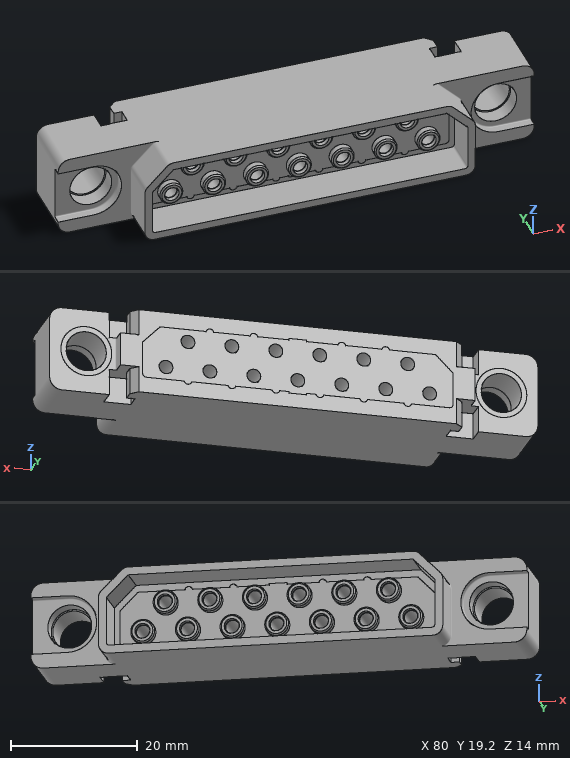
import cadquery as cq

LENGTH = 80.0
HEIGHT = 14.0
SHROUD_DEPTH = 6.5
FLANGE_THICKNESS = 10.3
REAR_DEPTH = 2.4
FLANGE_FRONT = SHROUD_DEPTH
FLANGE_REAR = FLANGE_FRONT + FLANGE_THICKNESS
REAR_FACE = FLANGE_REAR + REAR_DEPTH

FLANGE_CORNER_RADIUS = 2.0
ROOT_RADIUS = 0.2

SHROUD_HALF_WIDTH = 27.8
SHROUD_CORNER_CUT = 4.2
SHROUD_BOTTOM_RADIUS = 1.6
SHROUD_CUT_RADIUS = 1.4

CAVITY_HALF_WIDTH = 26.5
CAVITY_HALF_HEIGHT = 5.7
CAVITY_CORNER_CUT = 3.5
CAVITY_BOTTOM_RADIUS = 0.5
CAVITY_DEPTH = 6.3

REAR_HALF_WIDTH = 29.0
WEB_HALF_HEIGHT = 2.7
HOOK_HALF_WIDTH = 27.2
HOOK_CHAMFER = 1.2
HOOK_LENGTH = 3.1
LATCH_INNER = 25.8
LATCH_OUTER = 30.2
LATCH_DEPTH = 5.6

MOUNT_X = 34.0
MOUNT_RADIUS = 3.5
RECESS_RADIUS = 4.6
RECESS_DEPTH = 1.4
RECESS_FLOOR_RADIUS = 0.2
BUSHING_BORE_RADIUS = 3.3
BUSHING_RADIUS = 4.2
BUSHING_SETBACK = 4.2
BUSHING_FRONT = FLANGE_FRONT + BUSHING_SETBACK

INSERT_HALF_WIDTH = 25.4
INSERT_HALF_HEIGHT = 4.4
INSERT_CORNER_CUT = 2.9
INSERT_BOTTOM_RADIUS = 0.6
INSERT_PROTRUSION = 0.5
INSERT_FRONT = CAVITY_DEPTH - INSERT_PROTRUSION
INSERT_SPLIT = (CAVITY_DEPTH + REAR_FACE) / 2
RIB_RADIUS = 0.6
RIB_HEIGHT = 0.5
KEY_WIDTH = 2.9
KEY_HEIGHT = 0.2

PITCH = 7.2
ROW_Z = 2.3
UPPER_COUNT = 6
LOWER_COUNT = 7
SOCKET_MOUTH_RADIUS = 1.2
SOCKET_MOUTH_DEPTH = 0.8
SOCKET_BORE_RADIUS = 1.1
SOCKET_RADIUS = 1.9
SOCKET_HEIGHT = 1.3
SOCKET_CHAMFER = 0.2


def xz_plane(y):
    """Work plane at the given Y whose extrusions run toward the rear (+Y) and whose local x is -X."""
    return cq.Workplane(cq.Plane(origin=(0, y, 0), xDir=(-1, 0, 0), normal=(0, 1, 0)))


def row_positions(count):
    """X positions of a centred row at the contact pitch."""
    return [(i - (count - 1) / 2) * PITCH for i in range(count)]


UPPER_X = row_positions(UPPER_COUNT)
LOWER_X = row_positions(LOWER_COUNT)
SOCKET_POINTS = [(x, ROW_Z) for x in UPPER_X] + [(x, -ROW_Z) for x in LOWER_X]


def keyed_prism(half_width, half_height, corner_cut, bottom_radius, front, rear):
    """Prism along Y with 45 degree cuts at its upper corners and rounded lower corners."""
    outline = [
        (-half_width, -half_height),
        (half_width, -half_height),
        (half_width, half_height - corner_cut),
        (half_width - corner_cut, half_height),
        (corner_cut - half_width, half_height),
        (-half_width, half_height - corner_cut),
    ]
    prism = xz_plane(front).polyline(outline).close().extrude(rear - front)
    return prism.edges("|Y").edges("<Z").fillet(bottom_radius)


def shroud():
    body = keyed_prism(
        SHROUD_HALF_WIDTH, HEIGHT / 2, SHROUD_CORNER_CUT, SHROUD_BOTTOM_RADIUS, 0, FLANGE_FRONT
    )
    return body.edges("|Y").edges(">Z or >X or <X").fillet(SHROUD_CUT_RADIUS)


def edges_within(half_width, half_height, y):
    """Selector of the edges that lie at the given Y within a centred rectangle."""
    return cq.selectors.BoxSelector(
        (-half_width, y - ROOT_RADIUS, -half_height),
        (half_width, y + ROOT_RADIUS, half_height),
        boundingbox=True,
    )


def shroud_and_flange():
    """Shroud blended into an oversize plate, which is then trimmed to the rounded flange outline."""
    plate = xz_plane(FLANGE_FRONT).rect(LENGTH + HEIGHT, 2 * HEIGHT).extrude(FLANGE_THICKNESS)
    roots = edges_within(SHROUD_HALF_WIDTH + ROOT_RADIUS, HEIGHT / 2 + ROOT_RADIUS, FLANGE_FRONT)
    body = plate.union(shroud()).edges(roots).fillet(ROOT_RADIUS)
    envelope = xz_plane(0).rect(LENGTH, HEIGHT).extrude(FLANGE_REAR)
    return body.intersect(envelope.edges("|Y").fillet(FLANGE_CORNER_RADIUS))


def rear_block():
    return xz_plane(FLANGE_REAR).rect(2 * REAR_HALF_WIDTH, HEIGHT).extrude(REAR_DEPTH)


def latch_notches():
    """Four undercut notches, above and below the web at each end of the rear block."""
    outline = [
        (LATCH_OUTER, REAR_FACE),
        (LATCH_OUTER, REAR_FACE - LATCH_DEPTH),
        (LATCH_INNER, REAR_FACE - LATCH_DEPTH),
        (LATCH_INNER, REAR_FACE - HOOK_LENGTH),
        (HOOK_HALF_WIDTH, REAR_FACE - HOOK_LENGTH),
        (HOOK_HALF_WIDTH, REAR_FACE - HOOK_CHAMFER),
        (HOOK_HALF_WIDTH - HOOK_CHAMFER, REAR_FACE),
    ]
    notch = (
        cq.Workplane("XY").workplane(offset=WEB_HALF_HEIGHT)
        .polyline(outline).close().extrude(HEIGHT / 2 - WEB_HALF_HEIGHT)
    )
    upper = notch.union(notch.mirror("YZ"))
    return upper.union(upper.mirror("XY"))


def mount_recesses():
    """Shallow recesses around the mounting holes, open at the ends, with blended floors."""
    run_out = LENGTH / 2 + RECESS_RADIUS - MOUNT_X
    recess = (
        cq.Workplane("XZ", origin=(MOUNT_X, FLANGE_FRONT + RECESS_DEPTH, 0))
        .moveTo(0, RECESS_RADIUS)
        .lineTo(run_out, RECESS_RADIUS)
        .lineTo(run_out, -RECESS_RADIUS)
        .lineTo(0, -RECESS_RADIUS)
        .threePointArc((-RECESS_RADIUS, 0), (0, RECESS_RADIUS))
        .close()
        .extrude(RECESS_DEPTH)
        .faces(">Y").edges().fillet(RECESS_FLOOR_RADIUS)
    )
    return recess.union(recess.mirror("YZ"))


def mount_holes():
    """Through holes that widen to hold the bushings in the rear half of the flange."""
    centres = [(-MOUNT_X, 0), (MOUNT_X, 0)]
    holes = xz_plane(FLANGE_FRONT).pushPoints(centres).circle(MOUNT_RADIUS).extrude(FLANGE_THICKNESS)
    seats = (
        xz_plane(BUSHING_FRONT).pushPoints(centres).circle(BUSHING_RADIUS)
        .extrude(FLANGE_REAR - BUSHING_FRONT)
    )
    return holes.union(seats)


def insert_blank(front, rear):
    """Insert outline with a rib opposite each gap in a contact row and a wide key at mid-length."""
    blank = keyed_prism(
        INSERT_HALF_WIDTH, INSERT_HALF_HEIGHT, INSERT_CORNER_CUT, INSERT_BOTTOM_RADIUS, front, rear
    )
    rib_z = INSERT_HALF_HEIGHT + RIB_HEIGHT - RIB_RADIUS
    upper_ribs = [(x, rib_z) for x in LOWER_X[1:-1] if x != 0]
    lower_ribs = [(x, -rib_z) for x in UPPER_X]
    ribs = xz_plane(front).pushPoints(upper_ribs + lower_ribs).circle(RIB_RADIUS).extrude(rear - front)
    key = xz_plane(front).rect(KEY_WIDTH, 2 * (INSERT_HALF_HEIGHT + KEY_HEIGHT)).extrude(rear - front)
    return blank.union(ribs).union(key)


def make_housing():
    body = shroud_and_flange().union(rear_block())
    rear_roots = edges_within(REAR_HALF_WIDTH + ROOT_RADIUS, HEIGHT, FLANGE_REAR)
    body = body.edges(rear_roots).edges("|Z").fillet(ROOT_RADIUS)
    cavity = keyed_prism(
        CAVITY_HALF_WIDTH, CAVITY_HALF_HEIGHT, CAVITY_CORNER_CUT, CAVITY_BOTTOM_RADIUS, 0, CAVITY_DEPTH
    )
    return (
        body.cut(cavity)
        .cut(insert_blank(CAVITY_DEPTH, REAR_FACE))
        .cut(latch_notches())
        .cut(mount_recesses())
        .cut(mount_holes())
    )


def make_rear_insert():
    bores = (
        xz_plane(INSERT_SPLIT).pushPoints(SOCKET_POINTS).circle(SOCKET_BORE_RADIUS)
        .extrude(REAR_FACE - INSERT_SPLIT)
    )
    return insert_blank(INSERT_SPLIT, REAR_FACE).cut(bores)


def make_front_insert():
    """Front half, with a chamfered socket standing forward around each contact bore."""
    socket_front = INSERT_FRONT - SOCKET_HEIGHT
    sockets = (
        xz_plane(socket_front).pushPoints(SOCKET_POINTS).circle(SOCKET_RADIUS).extrude(SOCKET_HEIGHT)
        .faces("<Y").edges().chamfer(SOCKET_CHAMFER)
    )
    bores = (
        xz_plane(socket_front).pushPoints(SOCKET_POINTS).circle(SOCKET_BORE_RADIUS)
        .extrude(INSERT_SPLIT - socket_front)
    )
    mouths = (
        xz_plane(socket_front).pushPoints(SOCKET_POINTS).circle(SOCKET_MOUTH_RADIUS)
        .extrude(SOCKET_MOUTH_DEPTH)
    )
    return insert_blank(INSERT_FRONT, INSERT_SPLIT).union(sockets).cut(bores).cut(mouths)


def make_bushing(x):
    return (
        xz_plane(BUSHING_FRONT).center(-x, 0).circle(BUSHING_RADIUS).circle(BUSHING_BORE_RADIUS)
        .extrude(FLANGE_REAR - BUSHING_FRONT)
    )


housing = make_housing()
front_insert = make_front_insert()
rear_insert = make_rear_insert()
bushings = [make_bushing(x) for x in (-MOUNT_X, MOUNT_X)]

result = cq.Compound.makeCompound([
    housing.val(),
    front_insert.val(),
    rear_insert.val(),
    *[bushing.val() for bushing in bushings],
])